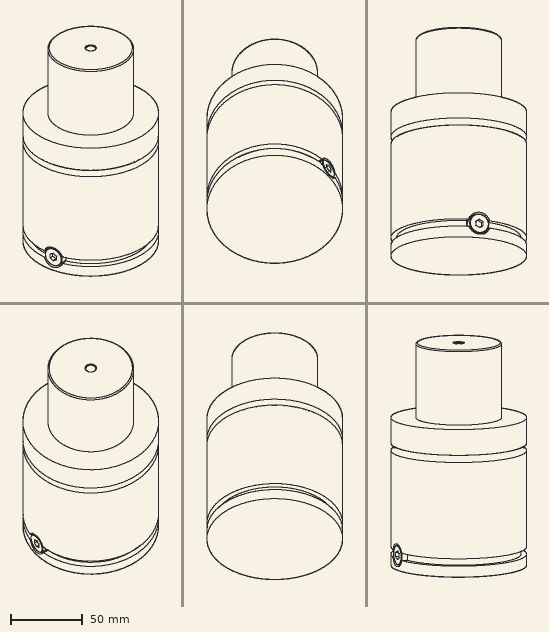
import cadquery as cq
import math

body_diameter = 95.0
body_height = 104.9

total_height = 158
rod_diameter = 60
rod_chamfer = 1.0

round_groove_height = 84.0
round_groove_radius = 2.5

square_groove_bottom = 7.9
square_groove_width = 5.2
square_groove_depth = 4.0

rod_hole_diameter = 6.8
rod_hole_depth = 12.6
rod_hole_chamfer_diameter = 7.9
drill_point_angle = 118

port_height = 10.6
port_diameter = 16.0
port_floor_y = -41.1
plug_diameter = 14.0
plug_face_y = -47.1
plug_chamfer = 0.5
socket_across_corners = 6.0
socket_depth = 3.2

body_radius = body_diameter / 2


def make_body():
    body = cq.Workplane("XY").circle(body_radius).extrude(body_height)
    round_groove = (
        cq.Workplane("XZ")
        .center(body_radius, round_groove_height)
        .circle(round_groove_radius)
        .revolve(360, (-body_radius, 0), (-body_radius, 1))
    )
    square_groove = (
        cq.Workplane("XY", origin=(0, 0, square_groove_bottom))
        .circle(body_radius)
        .circle(body_radius - square_groove_depth)
        .extrude(square_groove_width)
    )
    return body.cut(round_groove).cut(square_groove)


def make_rod():
    rod = cq.Workplane("XY").circle(rod_diameter / 2).extrude(total_height)
    return rod.faces(">Z").chamfer(rod_chamfer)


def make_rod_hole():
    radius = rod_hole_diameter / 2
    mouth_radius = rod_hole_chamfer_diameter / 2
    wall_bottom = total_height - rod_hole_depth
    tip = wall_bottom - radius / math.tan(math.radians(drill_point_angle / 2))
    profile = [
        (0, tip),
        (radius, wall_bottom),
        (radius, total_height - (mouth_radius - radius)),
        (mouth_radius, total_height),
        (0, total_height),
    ]
    return cq.Workplane("XZ").polyline(profile).close().revolve(360, (0, 0), (0, 1))


def port_plane(y):
    """Plane facing -Y at the given depth, centred on the port."""
    return cq.Workplane("XZ", origin=(0, y, port_height))


def make_plug():
    plug = port_plane(port_floor_y).circle(plug_diameter / 2).extrude(port_floor_y - plug_face_y)
    plug = plug.faces("<Y").chamfer(plug_chamfer)
    socket = (
        port_plane(plug_face_y)
        .transformed(rotate=(0, 0, 90))
        .polygon(6, socket_across_corners)
        .extrude(-socket_depth)
    )
    return plug.cut(socket)


port_bore = port_plane(port_floor_y).circle(port_diameter / 2).extrude(body_radius)

result = make_body().union(make_rod()).cut(make_rod_hole())
result = result.cut(port_bore).union(make_plug())